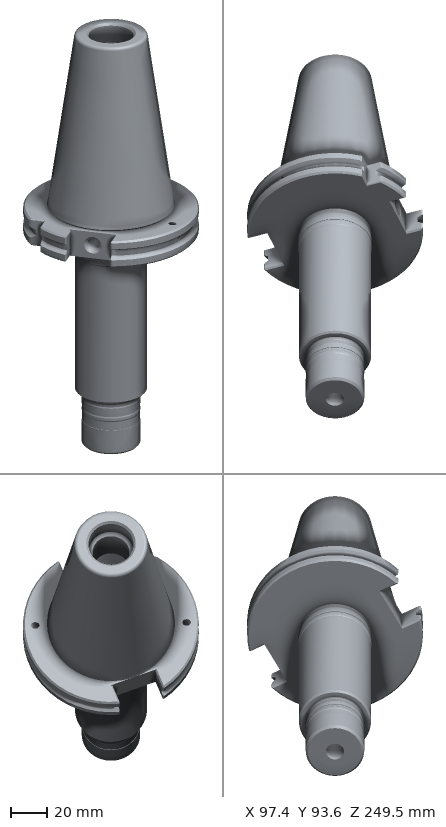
import cadquery as cq
import math


drill_point_angle = 118

taper_ratio = 7 / 24
gauge_radius = 35.0
taper_height = 101.5
taper_top_radius = gauge_radius - taper_height * taper_ratio / 2
taper_base = -0.7
taper_base_radius = gauge_radius - taper_base * taper_ratio / 2
taper_top_fillet = 2.0

rim_radius = 35.5
rim_bottom = -2.2
neck_radius = 34.5

flange_radius = 48.7
flange_top = -3.2
flange_thickness = 16.0
flange_bottom = flange_top - flange_thickness
flange_chamfer = 1.0
groove_center = flange_top - flange_thickness / 2
groove_floor_radius = 46.0
groove_floor_width = 3.5
groove_flank_angle = 30

slot_width = 25.5
front_slot_floor = 37.2
back_slot_floor = 35.0
slot_chamfer = 0.87
notch_wall = 30.0
notch_chamfer = 0.5
cutter_clearance = 2.5
outside = flange_radius + cutter_clearance

carrier_mouth_diameter = 10.0
carrier_diameter = 7.0
carrier_sink_depth = 1.5
carrier_depth = 7.5

coolant_angle = 160
coolant_circle_radius = 42.0
coolant_diameter = 4.0
coolant_cross_diameter = 3.2
coolant_tilt = 30

body_radius = 20.0
collar_radius = 20.2
relief_top = -19.7
relief_floor_start = -20.5
relief_floor_end = -21.5
relief_bottom = -23.0
ring_groove_top = -27.5
ring_groove_bottom = -28.7
collar_bottom = -31.2
collar_end = -31.7
body_bottom = -115.3
body_chamfer = 1.0

tip_radius = 16.2
tip_groove_radius = 16.0
tip_grooves = [
    (-116.8, -117.5, -119.0, -119.8),
    (-123.3, -123.3, -125.0, -125.8),
    (-127.3, -128.0, -133.0, -133.0),
]
tip_bottom = taper_height - 249.5
tip_chamfer = 1.2

pilot_radius = 12.5
pilot_depth = 11.5
pilot_chamfer = 1.2
thread_diameter = 20.7
thread_radius = thread_diameter / 2
seat_angle = 120
thread_depth = 35.0
through_radius = 5.0


def revolve_about_z(outline):
    return cq.Workplane("XZ").polyline(outline).close().revolve(360, (0, 0), (0, 1))


def drill_point_length(large_radius, small_radius=0):
    return (large_radius - small_radius) / math.tan(math.radians(drill_point_angle / 2))


def make_blank():
    """Turned outside of the holder, from taper top to tip."""
    groove_depth = flange_radius - groove_floor_radius
    half_floor = groove_floor_width / 2
    half_mouth = half_floor + groove_depth * math.tan(math.radians(groove_flank_angle))
    outline = [
        (0, taper_height),
        (taper_top_radius, taper_height),
        (taper_base_radius, taper_base),
        (rim_radius, rim_bottom),
        (neck_radius, flange_top),
        (flange_radius - flange_chamfer, flange_top),
        (flange_radius, flange_top - flange_chamfer),
        (flange_radius, groove_center + half_mouth),
        (groove_floor_radius, groove_center + half_floor),
        (groove_floor_radius, groove_center - half_floor),
        (flange_radius, groove_center - half_mouth),
        (flange_radius, flange_bottom + flange_chamfer),
        (flange_radius - flange_chamfer, flange_bottom),
        (collar_radius, flange_bottom),
        (collar_radius, relief_top),
        (body_radius, relief_floor_start),
        (body_radius, relief_floor_end),
        (collar_radius, relief_bottom),
        (collar_radius, ring_groove_top),
        (body_radius, ring_groove_top),
        (body_radius, ring_groove_bottom),
        (collar_radius, ring_groove_bottom),
        (collar_radius, collar_bottom),
        (body_radius, collar_end),
        (body_radius, body_bottom + body_chamfer),
        (body_radius - body_chamfer, body_bottom),
        (tip_radius, body_bottom),
    ]
    for top, floor_top, floor_bottom, bottom in tip_grooves:
        outline += [
            (tip_radius, top),
            (tip_groove_radius, floor_top),
            (tip_groove_radius, floor_bottom),
            (tip_radius, bottom),
        ]
    outline += [
        (tip_radius, tip_bottom + tip_chamfer),
        (tip_radius - tip_chamfer, tip_bottom),
        (0, tip_bottom),
    ]
    return revolve_about_z(outline).faces(">Z").edges().fillet(taper_top_fillet)


def make_bore():
    """Stepped bore: pilot, conical seat, thread bore and a small hole through to the tip."""
    drill_point = drill_point_length(thread_radius, through_radius)
    seat_drop = (pilot_radius - thread_radius) / math.tan(math.radians(seat_angle / 2))
    thread_end = taper_height - thread_depth
    outline = [
        (0, taper_height),
        (pilot_radius + pilot_chamfer, taper_height),
        (pilot_radius, taper_height - pilot_chamfer),
        (pilot_radius, taper_height - pilot_depth),
        (thread_radius, taper_height - pilot_depth - seat_drop),
        (thread_radius, thread_end),
        (through_radius, thread_end - drill_point),
        (through_radius, tip_bottom),
        (0, tip_bottom),
    ]
    return revolve_about_z(outline)


def flange_prism(outline):
    """Prism over the outline, as tall as the flange."""
    base = cq.Workplane("XY", origin=(0, 0, flange_bottom))
    return base.polyline(outline).close().extrude(flange_thickness)


def edge_flare(wall_x, floor_y, side, chamfer):
    """Chamfer wedges along the top and bottom edges of a wall x = wall_x, cut towards side."""
    wedges = cq.Workplane("XZ")
    for z, inward in ((flange_top, -1), (flange_bottom, 1)):
        wedges = wedges.polyline([
            (wall_x, z),
            (wall_x + side * chamfer, z),
            (wall_x, z + inward * chamfer),
        ]).close()
    return wedges.extrude(flange_radius).translate((0, -floor_y, 0))


def rim_flare(wall_x, side, chamfer):
    """Chamfer wedge along the upright edge where a wall x = wall_x meets the rim at -Y."""
    rim_y = -math.sqrt(flange_radius**2 - wall_x**2)
    return flange_prism([
        (wall_x, rim_y + chamfer),
        (wall_x + side * 2 * chamfer, rim_y - chamfer),
        (wall_x, rim_y - chamfer),
    ])


def make_slot(floor_y):
    """Driving slot open towards -Y, with chamfered side walls."""
    half = slot_width / 2
    slot = flange_prism([
        (-half, -floor_y),
        (half, -floor_y),
        (half, -outside),
        (-half, -outside),
    ])
    for side in (-1, 1):
        slot = slot.union(edge_flare(side * half, floor_y, side, slot_chamfer))
        slot = slot.union(rim_flare(side * half, side, slot_chamfer))
    return slot


def make_notch():
    """Orientation notch in the (-X, -Y) quadrant, symmetric about the diagonal."""
    notch = flange_prism([
        (-notch_wall, -notch_wall),
        (-notch_wall, -outside),
        (-outside, -outside),
        (-outside, -notch_wall),
    ])
    flares = edge_flare(-notch_wall, notch_wall - notch_chamfer, 1, notch_chamfer)
    flares = flares.union(rim_flare(-notch_wall, 1, notch_chamfer))
    other_wall_flares = flares.mirror("XZ").rotate((0, 0, 0), (0, 0, 1), 90)
    return notch.union(flares).union(other_wall_flares)


def make_carrier_hole():
    """Countersunk blind hole along +Y from the floor of the front slot."""
    mouth_y = -front_slot_floor
    end_y = mouth_y + carrier_depth
    radius = carrier_diameter / 2
    outline = [
        (0, mouth_y),
        (carrier_mouth_diameter / 2, mouth_y),
        (radius, mouth_y + carrier_sink_depth),
        (radius, end_y),
        (0, end_y + drill_point_length(radius)),
    ]
    hole = cq.Workplane("XY").polyline(outline).close().revolve(360, (0, 0), (0, 1))
    return hole.translate((0, 0, groove_center))


def make_coolant_hole(angle):
    """Inward-leaning hole from the flange face, met by a radial hole from the groove floor."""
    lean = math.radians(coolant_tilt)
    drop = flange_top - groove_center
    inner_radius = coolant_circle_radius - drop * math.tan(lean)
    axis = (math.sin(lean), 0, math.cos(lean))
    hole_base = cq.Plane(origin=(inner_radius, 0, groove_center), xDir=(0, 1, 0), normal=axis)
    leaning = cq.Workplane(hole_base).circle(coolant_diameter / 2).extrude(2 * drop / math.cos(lean))
    radial = (
        cq.Workplane("YZ", origin=(inner_radius, 0, groove_center))
        .circle(coolant_cross_diameter / 2)
        .extrude(flange_radius - inner_radius)
    )
    return leaning.union(radial).rotate((0, 0, 0), (0, 0, 1), angle)


result = make_blank().cut(make_bore())
result = result.cut(make_slot(front_slot_floor))
result = result.cut(make_slot(back_slot_floor).rotate((0, 0, 0), (0, 0, 1), 180))
result = result.cut(make_notch())
result = result.cut(make_carrier_hole())
for angle in (coolant_angle, coolant_angle + 180):
    result = result.cut(make_coolant_hole(angle))